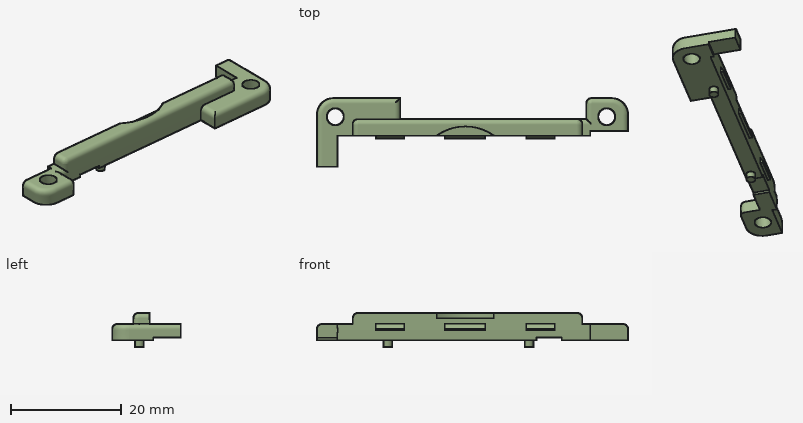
import cadquery as cq

LENGTH = 56.24
WIDTH = 12.44
PLATE_HEIGHT = 3.0
EDGE_RADIUS = 1.0

PARTING_Z = 1.85
DRAFT_ANGLE = 1.0

BAR_FRONT_Y = 5.6
BAR_BACK_Y = 8.65
BAR_END_X = 49.4

ARM_WIDTH = 3.75
LEFT_BLOCK_END_X = 15.08
ARM_RELIEF_LENGTH = 5.0

RIGHT_BLOCK_START_X = 48.65
RIGHT_BLOCK_FRONT_Y = 6.45

OUTER_CORNER_RADIUS = 3.03

HOLE_DIAMETER = 3.1
HOLE_Y = 9.05
HOLE_XS = (3.35, 52.35)

RIB_START_X = 6.45
RIB_END_X = 48.0
RIB_TOP = 5.0

RECESS_START_X = 21.6
RECESS_END_X = 32.05
RECESS_DEPTH_Y = 1.7
RECESS_DEPTH_Z = 1.0

TAB_SPANS = ((10.65, 15.8), (23.1, 30.4), (37.8, 43.0))
TAB_REACH = 0.5
TAB_LIP = 0.28
TAB_ROOT = 0.3

PIN_DIAMETER = 1.65
PIN_LENGTH = 1.2
PIN_Y = 7.5
PIN_XS = (12.85, 38.35)

RELIEF_DEPTH = 0.5
BAR_RELIEF_START_X = 39.7
BAR_RELIEF_END_X = 44.2


def box(x_span, y_span, z_span):
    """Axis-aligned box from its (low, high) limits."""
    (x0, x1), (y0, y1), (z0, z1) = x_span, y_span, z_span
    return cq.Workplane("XY").box(x1 - x0, y1 - y0, z1 - z0, centered=False).translate((x0, y0, z0))


def rectangle(x_span, y_span):
    """Rectangular sketch from its (low, high) limits."""
    (x0, x1), (y0, y1) = x_span, y_span
    return cq.Sketch().polygon([(x0, y0), (x1, y0), (x1, y1), (x0, y1), (x0, y0)])


def round_corner(sketch, x, y, radius):
    """Round the sketch corner found at (x, y)."""
    corner = cq.selectors.NearestToPointSelector((x, y, 0))
    return sketch.vertices(corner).fillet(radius).reset()


def draft_up(sketch, top_z):
    """Extrude a sketch from the parting level up to top_z, leaning inward."""
    base = cq.Workplane("XY", origin=(0, 0, PARTING_Z))
    return base.placeSketch(sketch).extrude(top_z - PARTING_Z, taper=DRAFT_ANGLE)


def draft_down(sketch):
    """Extrude a sketch from the parting level down to the underside, leaning inward."""
    base = cq.Workplane("XY", origin=(0, 0, PARTING_Z))
    return base.placeSketch(sketch).extrude(-PARTING_Z, taper=DRAFT_ANGLE)


def is_rounded(edge):
    """True for the plate's top edges along the back and the two ends."""
    middle = edge.Center()
    on_left_end = middle.x < EDGE_RADIUS
    on_right_end = middle.x > LENGTH - EDGE_RADIUS
    on_back = middle.y > BAR_BACK_Y - EDGE_RADIUS
    return on_left_end or on_right_end or on_back


def make_plate():
    """Arm, left block, bar and right block joined into one plate with a rounded top edge."""
    arm = rectangle((0, ARM_WIDTH), (0, BAR_BACK_Y))

    left_block = rectangle((0, LEFT_BLOCK_END_X), (BAR_FRONT_Y, WIDTH))
    left_block = round_corner(left_block, 0, WIDTH, OUTER_CORNER_RADIUS)

    bar = rectangle((ARM_WIDTH, BAR_END_X), (BAR_FRONT_Y, BAR_BACK_Y))

    right_block = rectangle((RIGHT_BLOCK_START_X, LENGTH), (RIGHT_BLOCK_FRONT_Y, WIDTH))
    right_block = round_corner(right_block, LENGTH, WIDTH, OUTER_CORNER_RADIUS)
    right_block = round_corner(right_block, RIGHT_BLOCK_START_X, WIDTH, EDGE_RADIUS)

    upper = draft_up(arm, PLATE_HEIGHT)
    lower = draft_down(arm)
    for section in (left_block, bar, right_block):
        upper = upper.union(draft_up(section, PLATE_HEIGHT))
        lower = lower.union(draft_down(section))
    plate = lower.union(upper).clean()
    top_edges = plate.faces(">Z").edges().vals()
    return plate.newObject([edge for edge in top_edges if is_rounded(edge)]).fillet(EDGE_RADIUS)


def make_rib():
    """Raised rib, rounded along its back, its ends and its two back corners."""
    sketch = rectangle((RIB_START_X, RIB_END_X), (BAR_FRONT_Y, BAR_BACK_Y))
    for x in (RIB_START_X, RIB_END_X):
        sketch = round_corner(sketch, x, BAR_BACK_Y, EDGE_RADIUS)
    rib = draft_up(sketch, RIB_TOP)
    rib = rib.faces(">Z").edges("not <Y").fillet(EDGE_RADIUS)
    recess = (
        cq.Workplane("XY", origin=(0, 0, RIB_TOP - RECESS_DEPTH_Z))
        .moveTo(RECESS_START_X, BAR_FRONT_Y)
        .threePointArc(
            ((RECESS_START_X + RECESS_END_X) / 2, BAR_FRONT_Y + RECESS_DEPTH_Y),
            (RECESS_END_X, BAR_FRONT_Y),
        )
        .close()
        .extrude(RECESS_DEPTH_Z)
    )
    return rib.cut(recess)


def make_tab(start_x, end_x):
    """Snap tab with a sloping top, standing out from the front face."""
    return (
        cq.Workplane("YZ", origin=(start_x, 0, 0))
        .moveTo(BAR_FRONT_Y + TAB_ROOT, PARTING_Z)
        .lineTo(BAR_FRONT_Y - TAB_REACH, PARTING_Z)
        .lineTo(BAR_FRONT_Y - TAB_REACH, PARTING_Z + TAB_LIP)
        .lineTo(BAR_FRONT_Y, PLATE_HEIGHT)
        .lineTo(BAR_FRONT_Y + TAB_ROOT, PLATE_HEIGHT)
        .close()
        .extrude(end_x - start_x)
    )


def make_pins():
    """Round locating pins hanging below the plate."""
    return (
        cq.Workplane("XY")
        .pushPoints([(x, PIN_Y) for x in PIN_XS])
        .circle(PIN_DIAMETER / 2)
        .extrude(-PIN_LENGTH, taper=DRAFT_ANGLE)
    )


def make_holes():
    """Through holes in the two end blocks."""
    return (
        cq.Workplane("XY", origin=(0, 0, PLATE_HEIGHT))
        .pushPoints([(x, HOLE_Y) for x in HOLE_XS])
        .circle(HOLE_DIAMETER / 2)
        .extrude(-PLATE_HEIGHT, taper=DRAFT_ANGLE)
    )


def make_reliefs():
    """Shallow steps under the tip of the arm and across the bar."""
    depth = (0, RELIEF_DEPTH)
    arm_relief = box((0, ARM_WIDTH), (0, ARM_RELIEF_LENGTH), depth)
    bar_relief = box((BAR_RELIEF_START_X, BAR_RELIEF_END_X), (BAR_FRONT_Y, BAR_BACK_Y), depth)
    return arm_relief.union(bar_relief)


result = make_plate().cut(make_holes())
result = result.cut(make_reliefs())
result = result.union(make_rib())
for tab_start, tab_end in TAB_SPANS:
    result = result.union(make_tab(tab_start, tab_end))
result = result.union(make_pins())